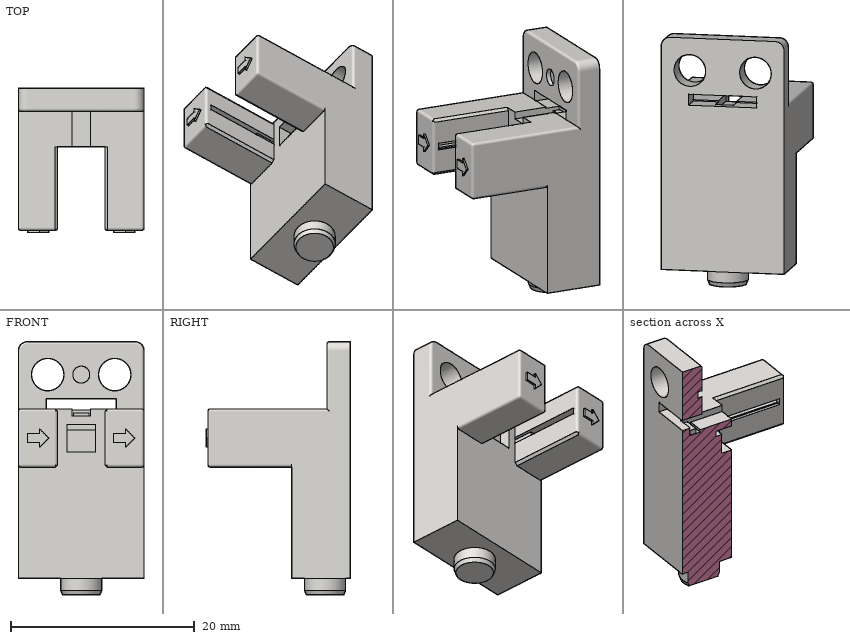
import cadquery as cq


width = 13.7
body_depth = 6.4
plate_thickness = 2.58
total_height = 25.8
plate_corner_radius = 1.0
edge_radius = 0.3

arm_reach = 15.54
arm_top = 18.48
arm_bottom = 12.1
arm_gap = 5.15
arm_width = (width - arm_gap) / 2
arm_bevel = 0.3
arm_middle = (arm_top + arm_bottom) / 2

arrow_spacing = 9.36
arrow_length = 2.3
arrow_head_length = 1.0
arrow_head_width = 2.0
arrow_shaft_width = 1.0
arrow_height = 0.2

boss_diameter = 4.5
boss_length = 1.8
boss_from_back = 2.77
boss_bevel_height = 0.5
boss_bevel_width = 0.2

hole_diameter = 3.5
hole_pitch = 7.3
hole_below_top = 3.6
dimple_diameter = 1.85
dimple_depth = 0.5
window_width = 7.6
window_top = 19.57
window_floor = 18.35

notch_width = 2.0
notch_floor = 17.7
notch_back = 1.0
tab_width = 1.7
tab_top = 18.0
tab_front = 1.8
tab_gap_front = 2.3
tab_gap_floor = 17.4

pocket_width = 3.1
pocket_top = 16.77
pocket_bottom = 13.77
pocket_depth = 1.25
pocket_step = 16.16
pocket_upper_depth = 2.0

slit_start = 5.9
slit_end = 14.9
slit_bottom = 14.95
slit_top = 15.7
slit_depth = 0.35
inner_slit_start = 8.4
inner_slit_bottom = 15.1
inner_slit_depth = 1.0


def block(x_range, depth_range, z_range):
    """Box between two X values, two distances forward of the back face and two heights."""
    x_low, x_high = x_range
    near, far = depth_range
    low, high = z_range
    box = cq.Workplane("XY").box(x_high - x_low, far - near, high - low, centered=False)
    return box.translate((x_low, -far, low))


def centred_block(size_x, depth_range, z_range):
    """Block that is symmetric about X = 0."""
    return block((-size_x / 2, size_x / 2), depth_range, z_range)


def both_sides(shape):
    """A shape together with its mirror image across X = 0."""
    return shape.union(shape.mirror("YZ"))


def make_body():
    body = centred_block(width, (0, body_depth), (0, arm_top))
    return body.edges("|Y and >Z").fillet(edge_radius)


def make_plate():
    plate = centred_block(width, (0, plate_thickness), (arm_top - edge_radius, total_height))
    plate = plate.edges("|Y and >Z").fillet(plate_corner_radius)
    front_outline = plate.faces("<Y").edges("not <Z")
    return front_outline.fillet(edge_radius)


def make_arms():
    arm = block((arm_gap / 2, arm_gap / 2 + arm_width), (body_depth, arm_reach), (arm_bottom, arm_top))
    rounded = arm.edges("not (>Y or (|Y and <X))").fillet(edge_radius)
    bevelled = arm.edges("|Y and <X").chamfer(arm_bevel)
    return both_sides(rounded.intersect(bevelled))


def make_arrows():
    """Two arrows, both pointing towards +X."""
    tail = -arrow_length / 2
    tip = arrow_length / 2
    neck = tip - arrow_head_length
    half_shaft = arrow_shaft_width / 2
    half_head = arrow_head_width / 2
    outline = [
        (tail, -half_shaft),
        (neck, -half_shaft),
        (neck, -half_head),
        (tip, 0),
        (neck, half_head),
        (neck, half_shaft),
        (tail, half_shaft),
    ]
    arrow = cq.Workplane("XZ").polyline(outline).close().extrude(arrow_height)
    left = arrow.translate((-arrow_spacing / 2, -arm_reach, arm_middle))
    return left.union(left.translate((arrow_spacing, 0, 0)))


def make_boss():
    boss = cq.Workplane("XY").center(0, -boss_from_back).circle(boss_diameter / 2).extrude(-boss_length)
    return boss.faces("<Z").chamfer(boss_bevel_height, boss_bevel_width)


def plate_hole(x, diameter, depth_range):
    near, far = depth_range
    hole = cq.Workplane("XZ").circle(diameter / 2).extrude(far - near)
    return hole.translate((x, -near, total_height - hole_below_top))


def cut_plate_openings(part):
    for x in (-hole_pitch / 2, hole_pitch / 2):
        part = part.cut(plate_hole(x, hole_diameter, (0, plate_thickness)))
    dimple = plate_hole(0, dimple_diameter, (plate_thickness - dimple_depth, plate_thickness))
    window = centred_block(window_width, (0, plate_thickness), (window_floor, window_top))
    return part.cut(dimple).cut(window)


def cut_notch(part):
    notch = centred_block(notch_width, (notch_back, body_depth), (notch_floor, arm_top))
    rear_gap = centred_block(notch_width, (notch_back, tab_gap_front), (tab_gap_floor, arm_top))
    tab = centred_block(tab_width, (notch_back, tab_front), (tab_gap_floor, tab_top))
    return part.cut(notch).cut(rear_gap).union(tab)


def cut_pocket(part):
    pocket = centred_block(pocket_width, (body_depth - pocket_depth, body_depth), (pocket_bottom, pocket_top))
    upper = centred_block(pocket_width, (body_depth - pocket_upper_depth, body_depth), (pocket_step, pocket_top))
    return part.cut(pocket).cut(upper)


def cut_slits(part):
    inner_face = arm_gap / 2
    slit = block((inner_face, inner_face + slit_depth), (slit_start, slit_end), (slit_bottom, slit_top))
    inner_slit = block(
        (inner_face, inner_face + inner_slit_depth),
        (inner_slit_start, slit_end),
        (inner_slit_bottom, slit_top),
    )
    return part.cut(both_sides(slit.union(inner_slit)))


result = make_body().union(make_plate()).union(make_arms()).union(make_arrows()).union(make_boss())
result = cut_plate_openings(result)
result = cut_notch(result)
result = cut_pocket(result)
result = cut_slits(result)